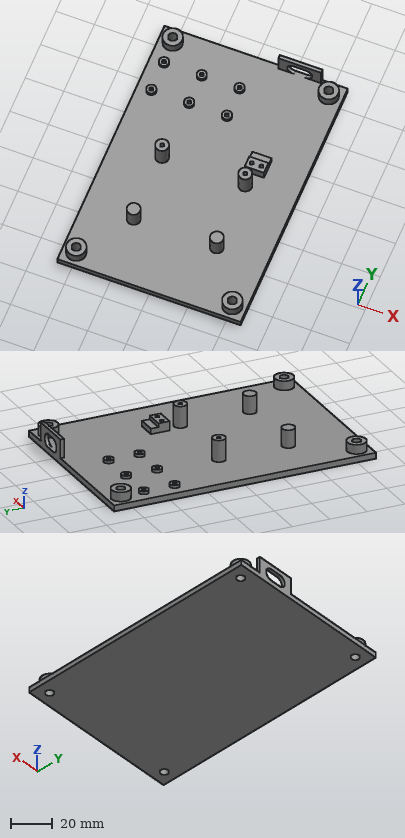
import cadquery as cq

PLATE_WIDTH = 95.0
PLATE_LENGTH = 140.0
PLATE_THICKNESS = 3.2
OVERALL_HEIGHT = 14.7

CORNER_X = 40.5
CORNER_Y = 63.0
CORNER_BOSS_DIAMETER = 10.0
CORNER_BOSS_HEIGHT = 4.9
CORNER_HOLE_DIAMETER = 4.5

PILOT_DIAMETER = 2.0

PAD_COLUMNS = 3
PAD_FIRST_X = -40.0
PAD_PITCH_X = 19.6
PAD_ROWS_Y = (50.5, 34.0)
PAD_DIAMETER = 5.0
PAD_HEIGHT = 1.5

POST_X = 21.5
POST_DIAMETER = 6.7
TALL_POST_Y = 1.5
TALL_POST_HEIGHT = OVERALL_HEIGHT - PLATE_THICKNESS
SHORT_POST_Y = -35.5
SHORT_POST_HEIGHT = 9.5

BLOCK_SIDE = 10.0
BLOCK_X = 23.4
BLOCK_FRONT_Y = 8.8
BLOCK_HEIGHT = 4.9
STEP_HEIGHT = 3.0
STEP_DEPTH = 4.0
BLOCK_HOLE_SPACING = 5.0

BRACKET_X = 23.4
BRACKET_WIDTH = 22.1
BRACKET_HEIGHT = 10.0
BRACKET_THICKNESS = 2.0
WINDOW_LENGTH = 13.0
WINDOW_HEIGHT = 7.0


def cylinder(x, y, diameter, height):
    """Upright cylinder standing on the plate."""
    base = cq.Workplane("XY", origin=(x, y, PLATE_THICKNESS))
    return base.circle(diameter / 2).extrude(height)


def drilled_post(x, y, diameter, height):
    """Cylinder with a blind pilot hole down to the plate."""
    return cylinder(x, y, diameter, height).cut(cylinder(x, y, PILOT_DIAMETER, height))


def stepped_block():
    """Block with a low step and two pilot holes in its high part."""
    high_depth = BLOCK_SIDE - STEP_DEPTH
    back_y = BLOCK_FRONT_Y + BLOCK_SIDE
    step_y = BLOCK_FRONT_Y + high_depth
    block_top = PLATE_THICKNESS + BLOCK_HEIGHT
    step_top = PLATE_THICKNESS + STEP_HEIGHT
    block = (
        cq.Workplane("YZ", origin=(BLOCK_X, 0, 0))
        .moveTo(BLOCK_FRONT_Y, PLATE_THICKNESS)
        .lineTo(back_y, PLATE_THICKNESS)
        .lineTo(back_y, step_top)
        .lineTo(step_y, step_top)
        .lineTo(step_y, block_top)
        .lineTo(BLOCK_FRONT_Y, block_top)
        .close()
        .extrude(BLOCK_SIDE / 2, both=True)
    )
    hole_y = BLOCK_FRONT_Y + high_depth / 2
    for side in (-1, 1):
        hole_x = BLOCK_X + side * BLOCK_HOLE_SPACING / 2
        block = block.cut(cylinder(hole_x, hole_y, PILOT_DIAMETER, BLOCK_HEIGHT))
    return block


def bracket():
    """Thin upright wall with a round-ended window just above the plate."""
    back_y = PLATE_LENGTH / 2
    wall = cq.Workplane("XY").box(
        BRACKET_WIDTH, BRACKET_THICKNESS, BRACKET_HEIGHT, centered=(True, False, False)
    ).translate((BRACKET_X, back_y - BRACKET_THICKNESS, PLATE_THICKNESS))
    window = (
        cq.Workplane("XZ", origin=(BRACKET_X, back_y, PLATE_THICKNESS + WINDOW_HEIGHT / 2))
        .slot2D(WINDOW_LENGTH, WINDOW_HEIGHT)
        .extrude(BRACKET_THICKNESS)
    )
    return wall.cut(window)


result = cq.Workplane("XY").box(
    PLATE_WIDTH, PLATE_LENGTH, PLATE_THICKNESS, centered=(True, True, False)
)

corners = [(sx * CORNER_X, sy * CORNER_Y) for sx in (-1, 1) for sy in (-1, 1)]
for x, y in corners:
    result = result.union(cylinder(x, y, CORNER_BOSS_DIAMETER, CORNER_BOSS_HEIGHT))

for column in range(PAD_COLUMNS):
    for y in PAD_ROWS_Y:
        x = PAD_FIRST_X + column * PAD_PITCH_X
        result = result.union(drilled_post(x, y, PAD_DIAMETER, PAD_HEIGHT))

for x in (-POST_X, POST_X):
    result = result.union(drilled_post(x, TALL_POST_Y, POST_DIAMETER, TALL_POST_HEIGHT))
    result = result.union(cylinder(x, SHORT_POST_Y, POST_DIAMETER, SHORT_POST_HEIGHT))

result = result.union(stepped_block()).union(bracket())

corner_holes = (
    cq.Workplane("XY")
    .pushPoints(corners)
    .circle(CORNER_HOLE_DIAMETER / 2)
    .extrude(PLATE_THICKNESS + CORNER_BOSS_HEIGHT)
)
result = result.cut(corner_holes)